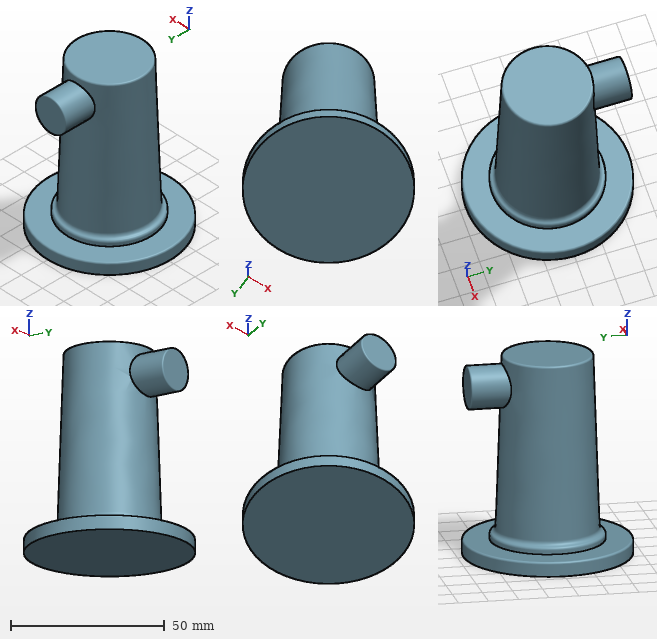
import cadquery as cq

total_height = 67.5
flange_radius = 27.95
flange_height = 4.9
flange_edge_radius = 0.75

collar_radius = 18.95
collar_side_top = 6.3
shoulder_rise = 1.0
cove_rise = 1.7

body_bottom_radius = 17.0
body_top_radius = 15.0
body_edge_radius = 0.75

peg_radius = 7.2
peg_axis_height = 57.6
peg_reach = 26.7
peg_edge_radius = 0.5


def make_flange():
    flange = cq.Workplane("XY").circle(flange_radius).extrude(flange_height)
    return flange.faces(">Z").edges().fillet(flange_edge_radius)


def make_collar_and_body():
    blend_rise = shoulder_rise + cove_rise
    blend_run = collar_radius - body_bottom_radius
    inflection_radius = collar_radius - blend_run * shoulder_rise / blend_rise

    half_profile = (
        cq.Workplane("XZ")
        .lineTo(collar_radius, 0)
        .lineTo(collar_radius, collar_side_top)
        .tangentArcPoint((inflection_radius, collar_side_top + shoulder_rise), relative=False)
        .tangentArcPoint((body_bottom_radius, collar_side_top + blend_rise), relative=False)
        .lineTo(body_top_radius, total_height)
        .lineTo(0, total_height)
        .close()
    )
    body = half_profile.revolve(360, (0, 0, 0), (0, 1, 0))
    return body.faces(">Z").edges().fillet(body_edge_radius)


def make_peg():
    peg = (
        cq.Workplane("XZ", origin=(0, 0, peg_axis_height))
        .circle(peg_radius)
        .extrude(-peg_reach)
    )
    return peg.faces(">Y").edges().fillet(peg_edge_radius)


result = make_flange().union(make_collar_and_body()).union(make_peg())